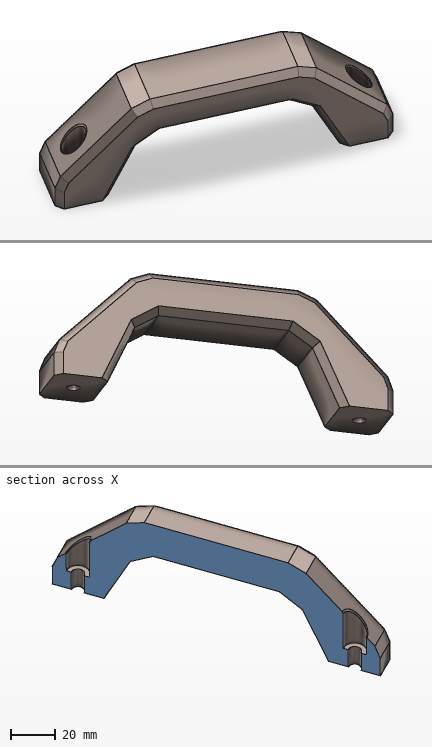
import cadquery as cq

width = 30.0
length = 160.0
height = 55.0
half_length = length / 2

foot_side_height = 11.2
shoulder_y = 77.5
shoulder_z = 18.0
slope_top_y = 43.8
slope_top_z = shoulder_z + (shoulder_y - slope_top_y)
crown_half_length = 35.0

foot_inner_y = 54.7
leg_top_y = 42.0
leg_top_z = 27.8
underside_half_length = 30.7
underside_z = 35.0

edge_chamfer = 3.4

hole_y = 67.5
hole_diameter = 6.2
counterbore_diameter = 11.0
counterbore_floor_z = 11.0
rim_chamfer = 0.6


def make_body():
    """Symmetric arch profile extruded across X, centred on X = 0."""
    half_outline = [
        (underside_half_length, underside_z),
        (leg_top_y, leg_top_z),
        (foot_inner_y, 0),
        (half_length, 0),
        (half_length, foot_side_height),
        (shoulder_y, shoulder_z),
        (slope_top_y, slope_top_z),
        (crown_half_length, height),
    ]
    mirrored = [(-y, z) for y, z in reversed(half_outline)]
    profile = cq.Workplane("YZ").polyline(half_outline + mirrored).close()
    return profile.extrude(width / 2, both=True)


def chamfer_side_edges(body):
    """Chamfer both side outlines, leaving the soles of the feet sharp."""
    outline_edges = body.faces("<X or >X").edges()
    sole_edges = cq.selectors.BoxSelector(
        (-width, -length, -edge_chamfer / 10),
        (width, length, edge_chamfer / 10),
    )
    side_edges = outline_edges.edges(cq.selectors.InverseSelector(sole_edges))
    return side_edges.chamfer(edge_chamfer)


def cut_screw_hole(body, y):
    """Through hole and counterbore with a chamfered rim where it meets the slope."""
    slope_z = shoulder_z + shoulder_y - abs(y)
    through = cq.Workplane("XY").center(0, y).circle(hole_diameter / 2).extrude(height)
    counterbore = (
        cq.Workplane("XY", origin=(0, y, counterbore_floor_z))
        .circle(counterbore_diameter / 2)
        .extrude(height)
    )
    body = body.cut(through).cut(counterbore)
    rim = body.edges(cq.selectors.NearestToPointSelector((0, y, slope_z)))
    return rim.chamfer(rim_chamfer)


result = chamfer_side_edges(make_body())
for hole_position in (-hole_y, hole_y):
    result = cut_screw_hole(result, hole_position)